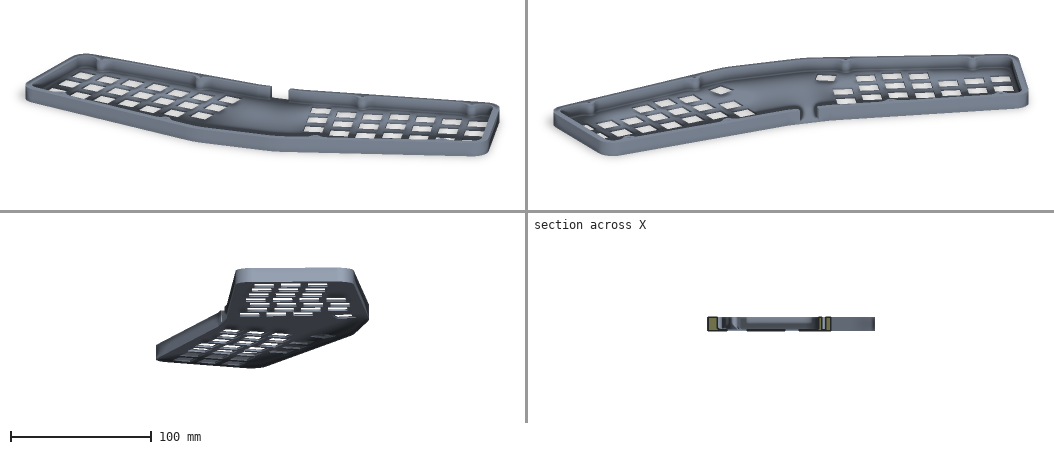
import cadquery as cq
import math

case_length = 347.3
case_width = 119.5
case_height = 10.0
floor_thickness = 1.5
wall_thickness = 5.0
wall_foot_radius = 1.2

wing_angle = 12.0
back_angle = 8.2
front_angle = 15.5
back_flat_half = 15.5
back_flat_y = 40.5
front_flat_half = 30.2
end_corner_radius = 11.8
front_bend_radius = 50.0

notch_width = 14.0
notch_corner_radius = 1.0

boss_centers = [(-139.3, 52.8), (-60.8, 41.7), (-143.5, -23.3), (-56.5, -47.2)]
boss_radius = 3.8
boss_blend_radius = 7.0
screw_hole_diameter = 2.5

key_size = 14.0
key_field_span = 114.0
first_key = (-148.3, 39.2)
column_steps = [0, 2.0, 2.5, 2.5, -2.5, 2.0, 6.0]
column_keys = [3, 3, 3, 4, 4, 4, 3]
key_pitch = key_field_span / (len(column_keys) - 1)
thumb_key = (-39.2, -39.5)
thumb_angle = 27.0


def both_sides(points):
    """The points followed by their mirror images in the YZ plane."""
    return points + [(-x, y) for x, y in points]


def crossing(first, first_slope, second, second_slope):
    """Point where two lines meet, each given by a point and its rise over run."""
    run = second[1] - first[1] + first_slope * first[0] - second_slope * second[0]
    x = run / (first_slope - second_slope)
    return (x, first[1] + first_slope * (x - first[0]))


def left_corners():
    """Sharp corners of the left wing, from the middle of the back round to the middle of the front."""
    back_bend = (-back_flat_half, back_flat_y)
    front_bend = (-front_flat_half, -case_width / 2)
    back_slope = -math.tan(math.radians(back_angle))
    front_slope = -math.tan(math.radians(front_angle))
    end_slope = 1 / math.tan(math.radians(wing_angle))

    arc_x = -case_length / 2 + end_corner_radius
    arc_y = (
        front_bend[1] + front_slope * (arc_x - front_bend[0])
        + end_corner_radius / math.cos(math.radians(front_angle))
    )
    end_point = (arc_x - end_corner_radius / math.cos(math.radians(wing_angle)), arc_y)

    back_corner = crossing(back_bend, back_slope, end_point, end_slope)
    front_corner = crossing(front_bend, front_slope, end_point, end_slope)
    return [back_bend, back_corner, front_corner, front_bend]


def near(x, y, reach):
    """Selector box as tall as the case around (x, y)."""
    return cq.selectors.BoxSelector((x - reach, y - reach, 0), (x + reach, y + reach, case_height))


def case_block():
    """Solid block with the rounded outer outline."""
    left = left_corners()
    right = [(-x, y) for x, y in reversed(left)]
    block = cq.Workplane("XY").polyline(left + right).close().extrude(case_height)
    _, back_corner, front_corner, front_bend = left
    rounded = [
        (back_corner, end_corner_radius),
        (front_corner, end_corner_radius),
        (front_bend, front_bend_radius),
    ]
    corner_reach = 0.5
    for corner, radius in rounded:
        for x, y in both_sides([corner]):
            block = block.edges("|Z").edges(near(x, y, corner_reach)).fillet(radius)
    return block


def cavity(block):
    """Everything above the floor inside the wall, with the bosses left out and the notch added."""
    depth = case_height - floor_thickness
    outline = block.faces("<Z").wires().val()
    inner_outline = outline.offset2D(-wall_thickness)[0]
    space = cq.Workplane(inner_outline).toPending().extrude(depth).translate((0, 0, floor_thickness))

    for x, y in both_sides(boss_centers):
        boss = cq.Workplane("XY").center(x, y).circle(boss_radius).extrude(case_height)
        space = space.cut(boss)
        space = space.edges("|Z").edges(near(x, y, boss_radius)).fillet(boss_blend_radius)

    notch_length = 4 * wall_thickness
    notch = (
        cq.Workplane("XY").workplane(offset=floor_thickness).center(0, back_flat_y)
        .rect(notch_width, notch_length).extrude(depth)
    )
    post_y = back_flat_y - wall_thickness
    space = space.union(notch)
    for side in (-1, 1):
        post = near(side * notch_width / 2, post_y, wall_thickness / 2)
        space = space.edges("|Z").edges(post).fillet(notch_corner_radius)

    return space.faces("<Z").edges().fillet(wall_foot_radius)


def screw_holes():
    """Blind holes from the rim down to the floor."""
    return (
        cq.Workplane("XY").workplane(offset=floor_thickness)
        .pushPoints(both_sides(boss_centers)).circle(screw_hole_diameter / 2).extrude(case_height)
    )


def key_opening(x, y, angle):
    """Square cutter through the floor, turned by angle about its centre."""
    cutter = cq.Workplane("XY").rect(key_size, key_size).extrude(case_height)
    return cutter.rotate((0, 0, 0), (0, 0, 1), angle).translate((x, y, 0))


def left_keys():
    """Staggered columns tilted with the wing, and one thumb key."""
    tilt = math.radians(wing_angle)
    along = (math.cos(tilt), -math.sin(tilt))
    up = (-along[1], along[0])
    openings = [key_opening(*thumb_key, -thumb_angle)]
    shift = 0
    for column, (step, count) in enumerate(zip(column_steps, column_keys)):
        shift += step
        for row in range(count):
            across = column * key_pitch
            rise = shift - row * key_pitch
            x = first_key[0] + across * along[0] + rise * up[0]
            y = first_key[1] + across * along[1] + rise * up[1]
            openings.append(key_opening(x, y, -wing_angle))
    return openings


block = case_block()
result = block.cut(cavity(block)).cut(screw_holes())
for opening in left_keys():
    result = result.cut(opening).cut(opening.mirror("YZ"))